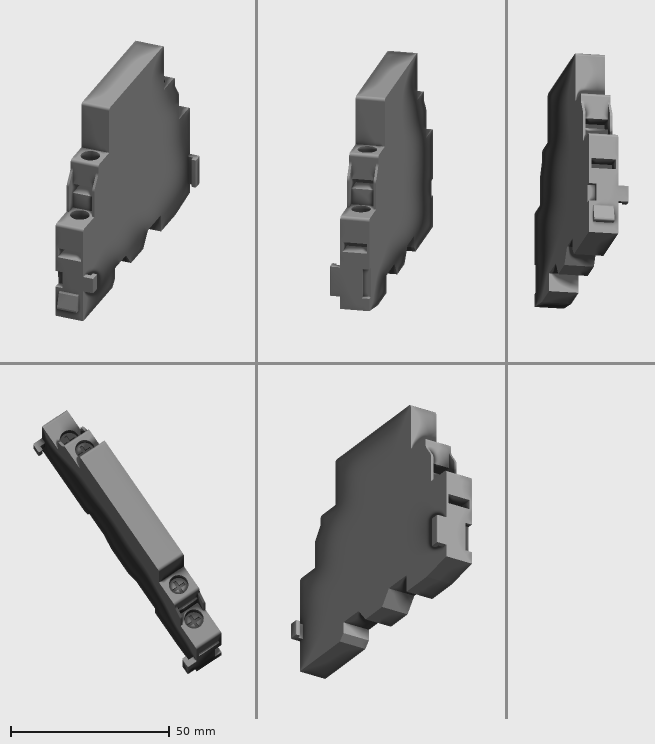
import cadquery as cq


WIDTH = 9.5
HEIGHT = 66.0
LENGTH = 87.5
BACK_Y = LENGTH / 2
FRONT_Y = -BACK_Y
EDGE_RADIUS = 1.0

TOWER_HALF = 22.5
SHOULDER_HALF = 31.4
SHOULDER_Z = 50.0
FLANGE_HALF = 34.65
FLANGE_TOP_Z = 46.7
FLANGE_SLOPE_END_Z = 42.45
FLANGE_KINK_RADIUS = 2.0
LEDGE_Z = 33.0

RAIL_ROOF_Z = 5.93
RAIL_BACK_Y = 20.05
RAIL_FRONT_Y = -17.7
FRONT_FOOT_CHAMFER = 2.1
BACK_FOOT_Y = 32.0
BACK_FOOT_Z = 2.05
RIB_TIP_Z = 1.1
RIB_BASE_BACK_Y = 9.4
RIB_TIP_BACK_Y = 5.4
RIB_TIP_FRONT_Y = -4.5
RIB_BASE_FRONT_Y = -8.7

FLANGE_WALL = 0.8
WINDOW_WIDTH = WIDTH - 2 * FLANGE_WALL
WINDOW_HEIGHT = 3.25
WINDOW_DROP = 8.45
WINDOW_DEPTH = 6.0

SCREW_INNER_Y = 26.5
SCREW_OUTER_Y = 35.15
SCREW_DIAMETER = 6.2
SCREW_SINK = 3.8
CROSS_LENGTH = 4.6
CROSS_SLOT = 1.0
CROSS_DEPTH = 1.0

HOOK_REACH = 3.4
HOOK_THICKNESS = 1.9
HOOK_TIP_WIDTH = 1.55
HOOK_LENGTH = 3.35
HOOK_RADIUS = 0.4
HOOK_TOP_Z = 16.0
FRONT_HOOK_BOTTOM_Z = 10.8
BACK_HOOK_BOTTOM_Z = 6.2
RECESS_WIDTH = 2.45
BACK_RECESS_DEPTH = 1.95
FRONT_RECESS_TOP_Z = 16.2
FRONT_RECESS_BOTTOM_Z = 10.5
FRONT_RECESS_TOP_DEPTH = 1.9
FRONT_RECESS_BOTTOM_DEPTH = 2.5

LATCH_START_X = 1.35
LATCH_WIDTH = 6.55
LATCH_REACH = 2.02
LATCH_LIP = 0.45
LATCH_TOP_Z = 9.25
LATCH_LIP_Z = 8.75
LATCH_BOTTOM_Z = 3.5
LATCH_LAND = 0.85
LATCH_RADIUS = 0.5


def extrude_along_x(points, start_x, length):
    """Extrude a closed (Y, Z) outline in +X from start_x."""
    return cq.Workplane("YZ", origin=(start_x, 0, 0)).polyline(points).close().extrude(length)


def box_between(x_range, y_range, z_range):
    """Axis-aligned box spanning three (low, high) ranges."""
    size = [high - low for low, high in (x_range, y_range, z_range)]
    corner = (x_range[0], y_range[0], z_range[0])
    return cq.Workplane("XY").box(*size, centered=False).translate(corner)


def fillet_x_edges(solid, corners, radius):
    """Round the edges parallel to X that pass through the given (Y, Z) corners."""
    reach = 0.1
    for y, z in corners:
        near_corner = cq.selectors.BoxSelector((0, y - reach, z - reach), (WIDTH, y + reach, z + reach))
        solid = solid.edges("|X").edges(near_corner).fillet(radius)
    return solid


def make_body():
    outline = [
        (FRONT_Y, 0),
        (RAIL_FRONT_Y - FRONT_FOOT_CHAMFER, 0),
        (RAIL_FRONT_Y, FRONT_FOOT_CHAMFER),
        (RAIL_FRONT_Y, RAIL_ROOF_Z),
        (RIB_BASE_FRONT_Y, RAIL_ROOF_Z),
        (RIB_TIP_FRONT_Y, RIB_TIP_Z),
        (RIB_TIP_BACK_Y, RIB_TIP_Z),
        (RIB_BASE_BACK_Y, RAIL_ROOF_Z),
        (RAIL_BACK_Y, RAIL_ROOF_Z),
        (RAIL_BACK_Y, 0),
        (BACK_FOOT_Y, 0),
        (BACK_Y, BACK_FOOT_Z),
        (BACK_Y, LEDGE_Z),
        (FLANGE_HALF, LEDGE_Z),
        (FLANGE_HALF, FLANGE_SLOPE_END_Z),
        (SHOULDER_HALF, FLANGE_TOP_Z),
        (SHOULDER_HALF, SHOULDER_Z),
        (TOWER_HALF, SHOULDER_Z),
        (TOWER_HALF, HEIGHT),
        (-TOWER_HALF, HEIGHT),
        (-TOWER_HALF, SHOULDER_Z),
        (-SHOULDER_HALF, SHOULDER_Z),
        (-SHOULDER_HALF, FLANGE_TOP_Z),
        (-FLANGE_HALF, FLANGE_SLOPE_END_Z),
        (-FLANGE_HALF, LEDGE_Z),
        (FRONT_Y, LEDGE_Z),
    ]
    body = extrude_along_x(outline, 0, WIDTH)
    rounded_corners = [(FRONT_Y, LEDGE_Z), (BACK_Y, LEDGE_Z)]
    flange_kinks = []
    for side in (-1, 1):
        rounded_corners.append((side * TOWER_HALF, HEIGHT))
        rounded_corners.append((side * SHOULDER_HALF, SHOULDER_Z))
        flange_kinks.append((side * SHOULDER_HALF, FLANGE_TOP_Z))
        flange_kinks.append((side * FLANGE_HALF, FLANGE_SLOPE_END_Z))
    body = fillet_x_edges(body, rounded_corners, EDGE_RADIUS)
    return fillet_x_edges(body, flange_kinks, FLANGE_KINK_RADIUS)


def make_end_cut(side, face_y, depth, bottom_z, top_z):
    """Cutter between the side walls, running inward from face_y on one end."""
    inner_y = face_y - side * depth
    x_range = (FLANGE_WALL, FLANGE_WALL + WINDOW_WIDTH)
    return box_between(x_range, sorted((face_y, inner_y)), (bottom_z, top_z))


def cut_pockets_and_windows(body):
    for side, end_y in ((-1, FRONT_Y), (1, BACK_Y)):
        shoulder_y = side * SHOULDER_HALF
        pocket_depth = FLANGE_HALF - SHOULDER_HALF
        body = body.cut(make_end_cut(side, side * FLANGE_HALF, pocket_depth, LEDGE_Z, SHOULDER_Z))
        for face_y, terminal_z in ((shoulder_y, SHOULDER_Z), (end_y, LEDGE_Z)):
            ceiling_z = terminal_z - WINDOW_DROP
            floor_z = ceiling_z - WINDOW_HEIGHT
            body = body.cut(make_end_cut(side, face_y, WINDOW_DEPTH, floor_z, ceiling_z))
    return body


def cut_screw(body, y, surface_z):
    """Sunken screw head with a cross recess."""
    head_z = surface_z - SCREW_SINK
    head = cq.Workplane("XY", origin=(WIDTH / 2, y, head_z))
    bore = head.circle(SCREW_DIAMETER / 2).extrude(SCREW_SINK)
    slot_x = head.rect(CROSS_LENGTH, CROSS_SLOT).extrude(-CROSS_DEPTH)
    slot_y = head.rect(CROSS_SLOT, CROSS_LENGTH).extrude(-CROSS_DEPTH)
    return body.cut(bore).cut(slot_x).cut(slot_y)


def cut_screws(body):
    for side in (-1, 1):
        body = cut_screw(body, side * SCREW_INNER_Y, SHOULDER_Z)
        body = cut_screw(body, side * SCREW_OUTER_Y, LEDGE_Z)
    return body


def cut_recesses(body):
    back_recess = box_between(
        (0, RECESS_WIDTH), (BACK_Y - BACK_RECESS_DEPTH, BACK_Y), (BACK_HOOK_BOTTOM_Z, HOOK_TOP_Z)
    )
    front_outline = [
        (FRONT_Y, FRONT_RECESS_BOTTOM_Z),
        (FRONT_Y + FRONT_RECESS_BOTTOM_DEPTH, FRONT_RECESS_BOTTOM_Z),
        (FRONT_Y + FRONT_RECESS_TOP_DEPTH, FRONT_RECESS_TOP_Z),
        (FRONT_Y, FRONT_RECESS_TOP_Z),
    ]
    return body.cut(back_recess).cut(extrude_along_x(front_outline, 0, RECESS_WIDTH))


def make_hook(side, end_y, bottom_z):
    """L-shaped hook flush with one end face, its tip pointing toward Y = 0."""
    outer_x = WIDTH + HOOK_REACH
    tip_x = outer_x - HOOK_TIP_WIDTH
    arm_y = end_y - side * HOOK_THICKNESS
    tip_y = end_y - side * HOOK_LENGTH
    outline = [
        (WIDTH, end_y),
        (outer_x, end_y),
        (outer_x, tip_y),
        (tip_x, tip_y),
        (tip_x, arm_y),
        (WIDTH, arm_y),
    ]
    profile = cq.Workplane("XY", origin=(0, 0, bottom_z)).polyline(outline).close()
    hook = profile.extrude(HOOK_TOP_Z - bottom_z)
    inner_tip_edge = cq.selectors.NearestToPointSelector((tip_x, tip_y, (bottom_z + HOOK_TOP_Z) / 2))
    hook = hook.edges("|Z").edges(inner_tip_edge).fillet(HOOK_RADIUS)
    return hook.edges("|Z and >X").fillet(HOOK_RADIUS)


def make_latch():
    outline = [
        (FRONT_Y, LATCH_BOTTOM_Z),
        (FRONT_Y, LATCH_TOP_Z),
        (FRONT_Y - LATCH_LIP, LATCH_LIP_Z),
        (FRONT_Y - LATCH_REACH, LATCH_BOTTOM_Z + LATCH_LAND),
        (FRONT_Y - LATCH_REACH, LATCH_BOTTOM_Z),
    ]
    latch = extrude_along_x(outline, LATCH_START_X, LATCH_WIDTH)
    return latch.edges("|X and <Y and <Z").fillet(LATCH_RADIUS)


result = make_body()
result = cut_pockets_and_windows(result)
result = cut_screws(result)
result = cut_recesses(result)
result = result.union(make_hook(-1, FRONT_Y, FRONT_HOOK_BOTTOM_Z))
result = result.union(make_hook(1, BACK_Y, BACK_HOOK_BOTTOM_Z))
result = result.union(make_latch())